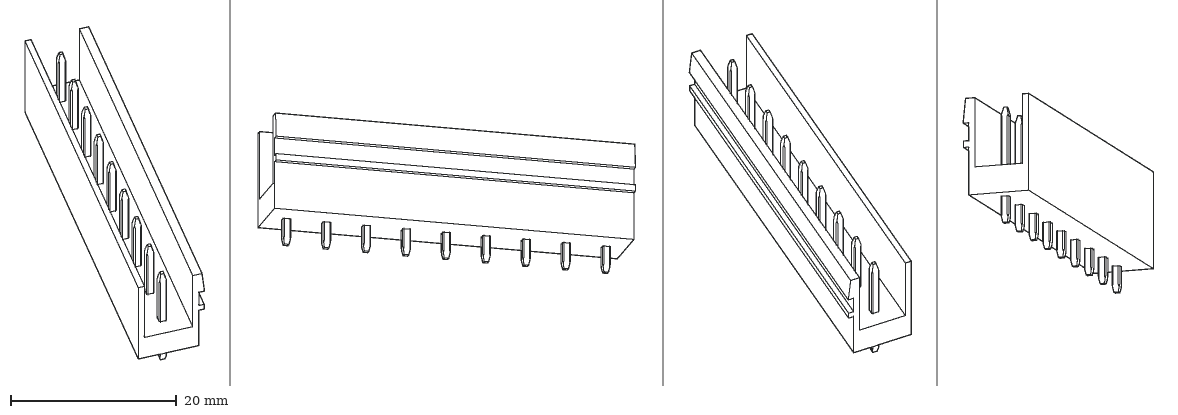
import cadquery as cq

housing_length = 45.0
housing_height = 12.0
housing_width = 7.7
channel_width = 6.1
floor_thickness = 3.4

catch_height = 3.05
catch_depth = 0.7
catch_top_depth = 0.4

rib_drop = 5.25
rib_height = 0.8
rib_depth = 0.68

pin_count = 9
pin_size = 1.0
pin_chamfer = 0.15
pin_forward_offset = 0.05
pin_protrusion = 3.2
pin_recess = 0.9
top_taper_length = 1.2
top_tip_size = 0.4
bottom_taper_length = 0.95
bottom_tip_size = 0.6

back_y = housing_width / 2
channel_half_width = channel_width / 2
rib_top_z = housing_height - rib_drop
pin_pitch = housing_length / pin_count
pin_bottom_z = -pin_protrusion
pin_top_z = housing_height - pin_recess
pin_positions = [(i - (pin_count - 1) / 2) * pin_pitch for i in range(pin_count)]


def make_channel():
    """Channel section with the catch on its back wall, extruded along X."""
    outline = [
        (-back_y, 0),
        (back_y, 0),
        (back_y, housing_height - catch_height),
        (back_y + catch_depth, housing_height - catch_height),
        (back_y + catch_top_depth, housing_height),
        (channel_half_width, housing_height),
        (channel_half_width, floor_thickness),
        (-channel_half_width, floor_thickness),
        (-channel_half_width, housing_height),
        (-back_y, housing_height),
    ]
    return cq.Workplane("YZ").polyline(outline).close().extrude(housing_length / 2, both=True)


def make_rib():
    """Rectangular rib along the whole outer face of the back wall."""
    return cq.Workplane("XY").box(
        housing_length, rib_depth, rib_height, centered=(True, False, False)
    ).translate((0, back_y, rib_top_z - rib_height))


def make_shank(bottom_z, top_z):
    """Straight square rod with its four long edges chamfered."""
    rod = cq.Workplane("XY", origin=(0, 0, bottom_z)).rect(pin_size, pin_size).extrude(top_z - bottom_z)
    return rod.edges("|Z").chamfer(pin_chamfer)


def make_taper_envelope():
    """Square solid as long as the pin, narrowing to a flat tip at each end."""
    bottom_shoulder_z = pin_bottom_z + bottom_taper_length
    top_shoulder_z = pin_top_z - top_taper_length
    bottom_taper = (
        cq.Workplane("XY", origin=(0, 0, pin_bottom_z))
        .rect(bottom_tip_size, bottom_tip_size)
        .workplane(offset=bottom_taper_length)
        .rect(pin_size, pin_size)
        .loft()
    )
    middle = (
        cq.Workplane("XY", origin=(0, 0, bottom_shoulder_z))
        .rect(pin_size, pin_size)
        .extrude(top_shoulder_z - bottom_shoulder_z)
    )
    top_taper = (
        cq.Workplane("XY", origin=(0, 0, top_shoulder_z))
        .rect(pin_size, pin_size)
        .workplane(offset=top_taper_length)
        .rect(top_tip_size, top_tip_size)
        .loft()
    )
    return middle.union(bottom_taper).union(top_taper)


def make_pin(x):
    """One contact pin, standing at the given X."""
    pin = make_shank(pin_bottom_z, pin_top_z).intersect(make_taper_envelope())
    return pin.translate((x, -pin_forward_offset, 0))


def make_housing():
    """Channel and rib, with a matching hole through the floor for each pin."""
    housing = make_channel().union(make_rib())
    for x in pin_positions:
        hole = make_shank(0, floor_thickness).translate((x, -pin_forward_offset, 0))
        housing = housing.cut(hole)
    return housing


housing = make_housing()
pins = [make_pin(x) for x in pin_positions]

result = cq.Compound.makeCompound([housing.val(), *[pin.val() for pin in pins]])